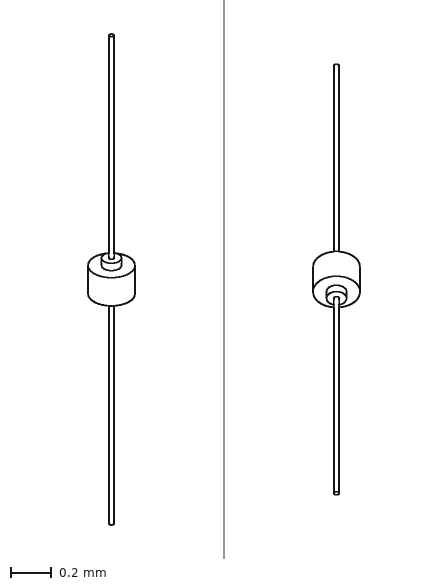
import cadquery as cq

total_length = 2.81
pin_diameter = 0.025
body_diameter = 0.23
body_length = 0.163
collar_diameter = 0.098
collar_length = 0.042

collared_length = body_length + 2 * collar_length


def centred_cylinder(diameter, length):
    """Cylinder along Z, centred on the origin."""
    return cq.Workplane("XY").cylinder(length, diameter / 2)


pin = centred_cylinder(pin_diameter, total_length)

collar = centred_cylinder(collar_diameter, collared_length)

body = centred_cylinder(body_diameter, body_length)

result = body.union(collar).union(pin)